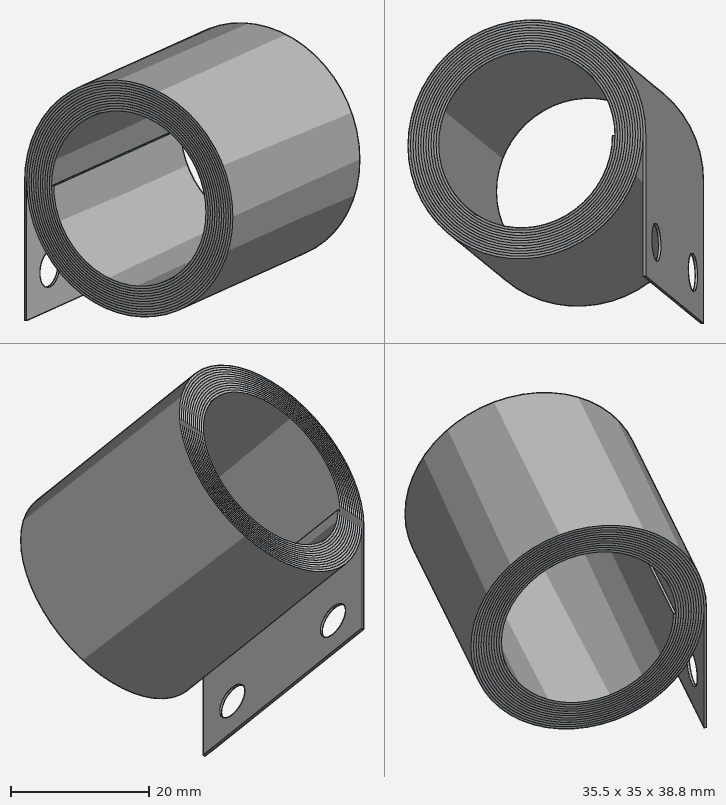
import cadquery as cq

coil_diameter = 35.5
strip_width = 35.0
overall_height = 38.75
strip_thickness = 0.38
turn_gap = 0.005
turn_count = 12
hole_diameter = 5.5
hole_spacing = 22.15
hole_height = 6.28

turn_pitch = strip_thickness + turn_gap
outer_radius = coil_diameter / 2
tab_length = overall_height - outer_radius


def add_half_turn(sketch, start_x, end_x, side):
    """Add a half circle between two points on the X axis: above it (side 1) or below it (side -1)."""
    middle_x = (start_x + end_x) / 2
    radius = abs(end_x - start_x) / 2
    return sketch.threePointArc((middle_x, side * radius), (end_x, 0))


def make_coiled_strip():
    """Extrude a straight tab that rolls into tangent half circles, shrinking one pitch per turn."""
    outer_left = -outer_radius
    inner_left = outer_left + strip_thickness
    sketch = cq.Workplane("XZ").moveTo(outer_left, -tab_length).lineTo(outer_left, 0)

    for turn in range(turn_count):
        left = outer_left + turn * turn_pitch
        right = outer_radius - turn * turn_pitch
        sketch = add_half_turn(sketch, left, right, 1)
        sketch = add_half_turn(sketch, right, left + turn_pitch, -1)

    sketch = sketch.lineTo(inner_left + turn_count * turn_pitch, 0)
    for turn in reversed(range(turn_count)):
        left = inner_left + turn * turn_pitch
        right = outer_radius - strip_thickness - turn * turn_pitch
        sketch = add_half_turn(sketch, left + turn_pitch, right, -1)
        sketch = add_half_turn(sketch, right, left, 1)

    sketch = sketch.lineTo(inner_left, -tab_length).close()
    return sketch.extrude(strip_width / 2, both=True)


def make_tab_holes():
    """Two cylinders that pass through the tab only."""
    return (
        cq.Workplane("YZ", origin=(-outer_radius - strip_thickness, 0, hole_height - tab_length))
        .pushPoints([(-hole_spacing / 2, 0), (hole_spacing / 2, 0)])
        .circle(hole_diameter / 2)
        .extrude(3 * strip_thickness)
    )


result = make_coiled_strip().cut(make_tab_holes())